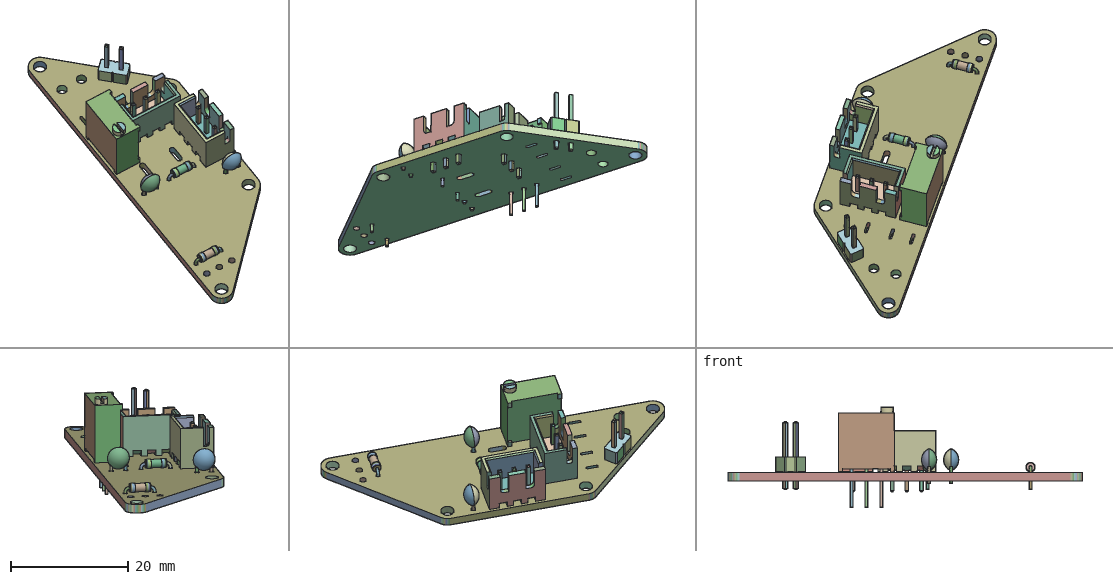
import cadquery as cq
import math


board_thickness = 1.51
board_top = -0.09
corner_radius = 2.0
front_corner_facets = 17
back_corner_facets = 6
board_length = 60.4
board_width = 20.0
front_hole_x = board_length / 2 - corner_radius
back_hole_y = board_width - corner_radius
back_hole_x = front_hole_x - (back_hole_y - corner_radius)
mounting_hole_diameter = 2.2
mounting_hole_points = [
    (-front_hole_x, corner_radius),
    (front_hole_x, corner_radius),
    (back_hole_x, back_hole_y),
    (-back_hole_x, back_hole_y),
]

wire_hole_diameter = 1.7
wire_hole_points = [(-22.1, 2.5), (-22.1, 6.45)]
sensor_hole_diameter = 1.09
sensor_hole_pitch = 2.54
sensor_hole_x = 24.1
sensor_hole_middle_y = 4.25
small_slot_length = 2.1
small_slot_width = 0.5
small_slot_x = -14.45
small_slot_ys = [1.95, 5.6, 9.95, 13.6]
large_slot_length = 3.15
large_slot_width = 1.0
large_slot_x = 0.0
large_slot_ys = [5.1, 11.15]

connector_pin_count = 3
connector_pin_pitch = 2.5
connector_length = 9.9
connector_depth = 5.75
connector_height = 7.0
connector_pin_inset = 2.35
connector_wall = 0.8
rim_chamfer = 0.25
connector_floor = 2.0
key_slot_width = 1.5
key_slot_inner = 1.5
key_slot_bottom = 3.3
key_slot_fillet = 0.7
side_notch_fillet = 0.45
side_notch_width = 1.0
side_notch_bottom = 3.75
vent_width = 1.4
vent_height = 1.0
channel_height = 0.25
connector_pin_size = 0.64
connector_pin_top = 6.4
connector_pin_bottom = -3.4
connector_drill = 0.95
pin_tip = 0.2
connector_places = [(-8.9, 10.83, 90), (0.27, 17.27, 0)]

header_pitch = 2.54
header_pin_count = 2
header_height = 2.54
header_corner = 0.2
header_pin_size = 0.64
header_pin_top = 8.54
header_pin_bottom = -3.0
header_drill = 1.0
header_center = (-19.53, 11.4)
header_angle = 45

trimmer_length = 9.53
trimmer_depth = 4.83
trimmer_height = 10.03
trimmer_center_x = -6.6
trimmer_front_y = 0.3
trimmer_lug_width = 0.7
trimmer_lug_depth = 0.35
trimmer_lug_height = 1.05
trimmer_standoff = 0.5
screw_diameter = 2.19
screw_height = 1.0
screw_x = -3.1
screw_y = 1.65
screw_slot_width = 0.5
screw_slot_depth = 0.75
trimmer_pin_diameter = 0.51
trimmer_pin_count = 3
trimmer_pin_pitch = 2.54
trimmer_drill = 0.8
trimmer_pin_y = 2.75
trimmer_pin_bottom = -6.04

lead_diameter = 0.5
disc_lead_drill = 0.8
disc_diameter = 3.8
disc_thickness = 2.6
disc_center_z = 2.05
disc_lead_pitch = 2.5
disc_lead_bottom = -1.95
capacitor_places = [(7.82, 17.45), (4.07, 3.3)]

resistor_length = 3.6
resistor_cap_diameter = 1.6
resistor_cap_length = 0.9
resistor_cap_fillet = 0.4
resistor_middle_diameter = 1.44
resistor_lead_pitch = 5.08
resistor_lead_bottom = -3.0
resistor_lead_drill = 0.7
resistor_bend_radius = (resistor_lead_pitch - resistor_length) / 2
resistor_axis_z = resistor_cap_diameter / 2
resistor_places = [(3.82, 9.82), (21.33, 3.82)]


def centered_offsets(count, pitch):
    return [(index - (count - 1) / 2) * pitch for index in range(count)]


def box_between(x_range, y_range, z_range):
    size = [end - start for start, end in (x_range, y_range, z_range)]
    return cq.Workplane().box(*size, centered=False).translate((x_range[0], y_range[0], z_range[0]))


def square_pin(size, bottom, top):
    """Square pin on the Z axis with both tips chamfered."""
    pin = cq.Workplane().workplane(offset=bottom).rect(size, size).extrude(top - bottom)
    return pin.faces("<Z or >Z").chamfer(pin_tip)


def round_rod(diameter, bottom, top):
    return cq.Workplane().workplane(offset=bottom).circle(diameter / 2).extrude(top - bottom)


def place(body, x, y, angle=0):
    return body.rotate((0, 0, 0), (0, 0, 1), angle).translate((x, y, 0))


def make_connector():
    """Connector with its pin row on the X axis and its slotted wall toward +Y."""
    half_length = connector_length / 2
    back = connector_pin_inset
    front = back - connector_depth
    body = box_between((-half_length, half_length), (front, back), (0, connector_height))

    notch_back = back - connector_wall
    cavity = box_between(
        (connector_wall - half_length, half_length - connector_wall),
        (front + connector_wall, notch_back),
        (connector_floor, connector_height),
    )
    half_rim = half_length - connector_wall + rim_chamfer
    rim_bottom = connector_height - rim_chamfer
    rim = box_between(
        (-half_rim, half_rim),
        (front + connector_wall - rim_chamfer, notch_back),
        (rim_bottom, rim_bottom + 2 * rim_chamfer),
    )
    rim = rim.faces("<Z").edges("not >Y").chamfer(rim_chamfer)
    body = body.cut(cavity).cut(rim)

    notch = box_between(
        (-half_length, half_length),
        (notch_back - side_notch_width, notch_back),
        (side_notch_bottom, connector_height),
    )
    body = body.cut(notch.edges("|X and <Z and >Y").fillet(side_notch_fillet))

    key_slot = box_between(
        (key_slot_inner, key_slot_inner + key_slot_width),
        (notch_back, back),
        (key_slot_bottom, connector_height),
    )
    key_slot = key_slot.edges("|Y and <Z and >X").fillet(key_slot_fillet)
    body = body.cut(key_slot).cut(key_slot.mirror("YZ"))

    vent_profile = [
        (front, 0),
        (back, 0),
        (back, channel_height),
        (front + vent_height - channel_height, channel_height),
        (front, vent_height),
    ]
    front_vent = cq.Workplane("YZ").polyline(vent_profile).close().extrude(vent_width / 2, both=True)
    middle_y = (front + back) / 2
    back_vent = front_vent.mirror("XZ", (0, middle_y, 0))
    pin = square_pin(connector_pin_size, connector_pin_bottom, connector_pin_top)
    for x in centered_offsets(connector_pin_count, connector_pin_pitch):
        body = body.cut(front_vent.translate((x, 0, 0)))
        body = body.cut(back_vent.translate((x, 0, 0)))
        body = body.union(pin.translate((x, 0, 0)))
    return body


def make_header():
    """Pin header with its pins in a row on the X axis."""
    body = None
    pin = square_pin(header_pin_size, header_pin_bottom, header_pin_top)
    for x in centered_offsets(header_pin_count, header_pitch):
        cell = cq.Workplane().rect(header_pitch, header_pitch).extrude(header_height)
        cell = cell.edges("|Z").chamfer(header_corner).union(pin).translate((x, 0, 0))
        body = cell if body is None else body.union(cell)
    return body


def make_trimmer():
    left = trimmer_center_x - trimmer_length / 2
    right = left + trimmer_length
    back = trimmer_front_y + trimmer_depth
    panel_back = back - trimmer_lug_depth
    body = box_between((left, right), (trimmer_front_y, panel_back), (0, trimmer_height))
    body = body.cut(
        box_between(
            (left + trimmer_lug_width, right - trimmer_lug_width),
            (trimmer_front_y, panel_back),
            (0, trimmer_standoff),
        )
    )
    for x in (left, right - trimmer_lug_width):
        for z in (0, trimmer_height - trimmer_lug_height):
            lug = box_between(
                (x, x + trimmer_lug_width), (panel_back, back), (z, z + trimmer_lug_height)
            )
            body = body.union(lug)

    screw_top = trimmer_height + screw_height
    screw = round_rod(screw_diameter, trimmer_height, screw_top)
    half_slot = screw_slot_width / 2
    screw = screw.cut(
        box_between(
            (-screw_diameter, screw_diameter),
            (-half_slot, half_slot),
            (screw_top - screw_slot_depth, screw_top),
        )
    )
    body = body.union(place(screw, screw_x, screw_y))

    pin = round_rod(trimmer_pin_diameter, trimmer_pin_bottom, trimmer_standoff)
    for x in centered_offsets(trimmer_pin_count, trimmer_pin_pitch):
        body = body.union(place(pin, trimmer_center_x + x, trimmer_pin_y))
    return body


def make_capacitor():
    """Lens-shaped disc facing X, on two leads in a row along Y."""
    rim_radius = disc_diameter / 2
    half_thickness = disc_thickness / 2
    face_radius = (rim_radius**2 + half_thickness**2) / disc_thickness
    half_sweep = math.asin(rim_radius / face_radius) / 2
    mid_x = face_radius * math.cos(half_sweep) - (face_radius - half_thickness)
    mid_y = face_radius * math.sin(half_sweep)
    disc = (
        cq.Workplane()
        .moveTo(-half_thickness, 0)
        .threePointArc((-mid_x, mid_y), (0, rim_radius))
        .threePointArc((mid_x, mid_y), (half_thickness, 0))
        .close()
        .revolve(360, (0, 0), (1, 0))
        .translate((0, 0, disc_center_z))
    )
    lead = round_rod(lead_diameter, disc_lead_bottom, disc_center_z)
    for y in centered_offsets(2, disc_lead_pitch):
        disc = disc.union(lead.translate((0, y, 0)))
    return disc


def make_resistor():
    """Resistor lying along Y on a wire bent down at both ends."""
    half_pitch = resistor_lead_pitch / 2
    bend = resistor_bend_radius
    bend_mid = bend * (1 - math.sqrt(0.5))
    path = (
        cq.Workplane("YZ")
        .moveTo(-half_pitch, resistor_lead_bottom)
        .lineTo(-half_pitch, resistor_axis_z - bend)
        .threePointArc(
            (bend_mid - half_pitch, resistor_axis_z - bend_mid), (bend - half_pitch, resistor_axis_z)
        )
        .lineTo(half_pitch - bend, resistor_axis_z)
        .threePointArc(
            (half_pitch - bend_mid, resistor_axis_z - bend_mid), (half_pitch, resistor_axis_z - bend)
        )
        .lineTo(half_pitch, resistor_lead_bottom)
    )
    wire_start = cq.Workplane(origin=(0, -half_pitch, resistor_lead_bottom))
    body = wire_start.circle(lead_diameter / 2).sweep(path)

    half_length = resistor_length / 2
    axis_plane = cq.Workplane("XZ", origin=(0, half_length, resistor_axis_z))
    body = body.union(axis_plane.circle(resistor_middle_diameter / 2).extrude(resistor_length))
    cap = axis_plane.circle(resistor_cap_diameter / 2).extrude(resistor_cap_length)
    cap = cap.faces(">Y").edges().fillet(resistor_cap_fillet)
    return body.union(cap).union(cap.mirror("XZ"))


def corner_points(x, y, start, end, facets):
    """Ends of the flat facets that round a board corner from one angle to another."""
    angles = [math.radians(start + (end - start) * step / facets) for step in range(facets + 1)]
    return [(x + corner_radius * math.cos(a), y + corner_radius * math.sin(a)) for a in angles]


def lead_points(places, pitch):
    return [(x, y + offset) for x, y in places for offset in centered_offsets(2, pitch)]


def turned_row(count, pitch, x, y, angle):
    turn = math.radians(angle)
    offsets = centered_offsets(count, pitch)
    return [(x + offset * math.cos(turn), y + offset * math.sin(turn)) for offset in offsets]


def make_board():
    """Board with its holes, slots and a drilled hole for every pin and lead."""
    corners = [
        (-front_hole_x, corner_radius, 135, 270, front_corner_facets),
        (front_hole_x, corner_radius, 270, 405, front_corner_facets),
        (back_hole_x, back_hole_y, 45, 90, back_corner_facets),
        (-back_hole_x, back_hole_y, 90, 135, back_corner_facets),
    ]
    outline = [point for corner in corners for point in corner_points(*corner)]
    board_bottom = cq.Workplane().workplane(offset=board_top - board_thickness)
    board = board_bottom.polyline(outline).close().extrude(board_thickness)

    sensor_holes = [
        (sensor_hole_x, sensor_hole_middle_y + y) for y in centered_offsets(3, sensor_hole_pitch)
    ]
    connector_pins = [
        point
        for place_and_turn in connector_places
        for point in turned_row(connector_pin_count, connector_pin_pitch, *place_and_turn)
    ]
    header_pins = turned_row(header_pin_count, header_pitch, *header_center, header_angle)
    trimmer_pins = turned_row(trimmer_pin_count, trimmer_pin_pitch, trimmer_center_x, trimmer_pin_y, 0)
    for diameter, points in (
        (mounting_hole_diameter, mounting_hole_points),
        (wire_hole_diameter, wire_hole_points),
        (sensor_hole_diameter, sensor_holes),
        (connector_drill, connector_pins),
        (header_drill, header_pins),
        (trimmer_drill, trimmer_pins),
        (disc_lead_drill, lead_points(capacitor_places, disc_lead_pitch)),
        (resistor_lead_drill, lead_points(resistor_places, resistor_lead_pitch)),
    ):
        board = board.cut(board_bottom.pushPoints(points).circle(diameter / 2).extrude(board_thickness))

    for length, width, x, ys in (
        (small_slot_length, small_slot_width, small_slot_x, small_slot_ys),
        (large_slot_length, large_slot_width, large_slot_x, large_slot_ys),
    ):
        slots = board_bottom.pushPoints([(x, y) for y in ys]).slot2D(length, width)
        board = board.cut(slots.extrude(board_thickness))

    return board


connectors = [place(make_connector(), x, y, angle) for x, y, angle in connector_places]
header = place(make_header(), *header_center, header_angle)
trimmer = make_trimmer()
capacitors = [place(make_capacitor(), x, y) for x, y in capacitor_places]
resistors = [place(make_resistor(), x, y) for x, y in resistor_places]
mounted = [*connectors, header, trimmer, *capacitors, *resistors]
board = make_board()

result = cq.Compound.makeCompound([board.val(), *[body.val() for body in mounted]])